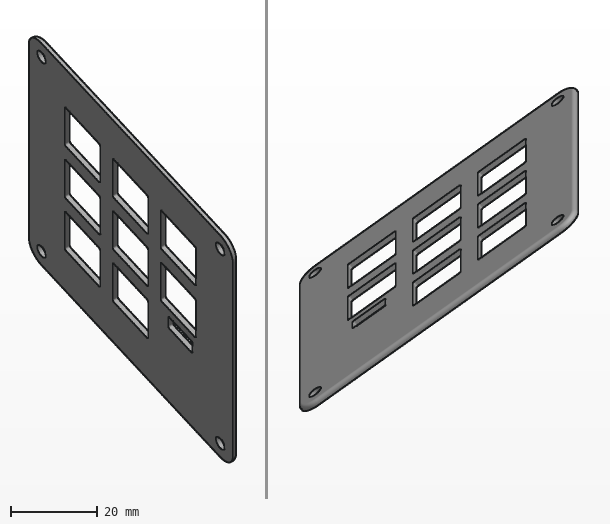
import cadquery as cq

plate_side = 81.1
plate_thickness = 1.5
corner_radius = 5.0
back_edge_radius = 1.0

screw_hole_diameter = 3.4
screw_hole_spacing = plate_side - 2 * corner_radius

key_opening = 14.0
key_pitch = 19.05
key_grid_center_x = -0.2
key_grid_center_z = 0.4
opening_corner_radius = 0.5
empty_grid_place = (1, -1)

slot_width = 9.65
slot_height = 4.05
slot_center_x = 19.7
slot_center_z = -11.5


def make_plate():
    """Square plate with rounded corners and a rounded outer edge on its back (+Y) face."""
    plate = cq.Workplane("XY").box(plate_side, plate_thickness, plate_side)
    plate = plate.edges("|Y").fillet(corner_radius)
    return plate.faces(">Y").edges().fillet(back_edge_radius)


def make_screw_holes():
    return (
        cq.Workplane("XZ")
        .rect(screw_hole_spacing, screw_hole_spacing, forConstruction=True)
        .vertices()
        .circle(screw_hole_diameter / 2)
        .extrude(plate_thickness, both=True)
    )


def make_opening(width, height, center_x, center_z):
    """Cutter for a through opening with slightly rounded corners."""
    return (
        cq.Workplane("XY")
        .box(width, 2 * plate_thickness, height)
        .edges("|Y")
        .fillet(opening_corner_radius)
        .translate((center_x, 0, center_z))
    )


result = make_plate().cut(make_screw_holes())

for column in (-1, 0, 1):
    for row in (-1, 0, 1):
        if (column, row) == empty_grid_place:
            continue
        key_x = key_grid_center_x + column * key_pitch
        key_z = key_grid_center_z + row * key_pitch
        result = result.cut(make_opening(key_opening, key_opening, key_x, key_z))

result = result.cut(make_opening(slot_width, slot_height, slot_center_x, slot_center_z))